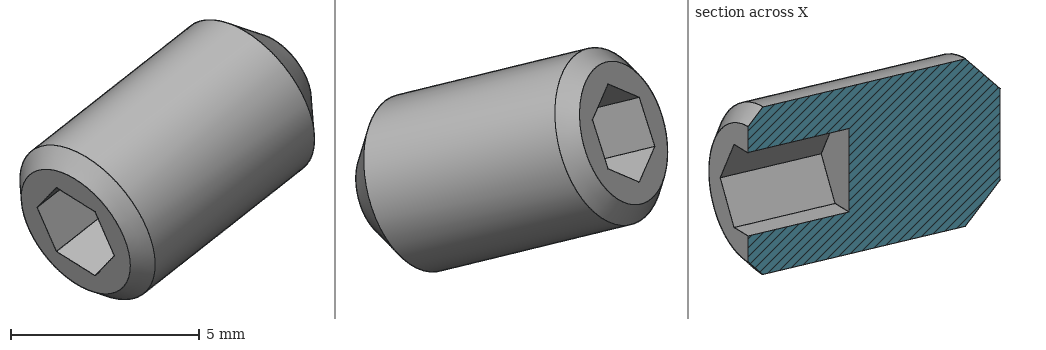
import cadquery as cq
import math

length = 7.94
diameter = 4.83
drive_chamfer = 0.47
point_chamfer = 1.1
socket_across_flats = 2.38
socket_depth = 3.175

body = (
    cq.Workplane("XZ")
    .circle(diameter / 2)
    .extrude(-length)
    .faces("<Y")
    .chamfer(drive_chamfer)
    .faces(">Y")
    .chamfer(point_chamfer)
)

corner_radius = socket_across_flats / 2 / math.cos(math.radians(30))
corner_angles = [math.radians(60 * i) for i in range(6)]
hexagon = [(corner_radius * math.cos(a), corner_radius * math.sin(a)) for a in corner_angles]
socket = cq.Workplane("XZ").polyline(hexagon).close().extrude(-socket_depth)

result = body.cut(socket)